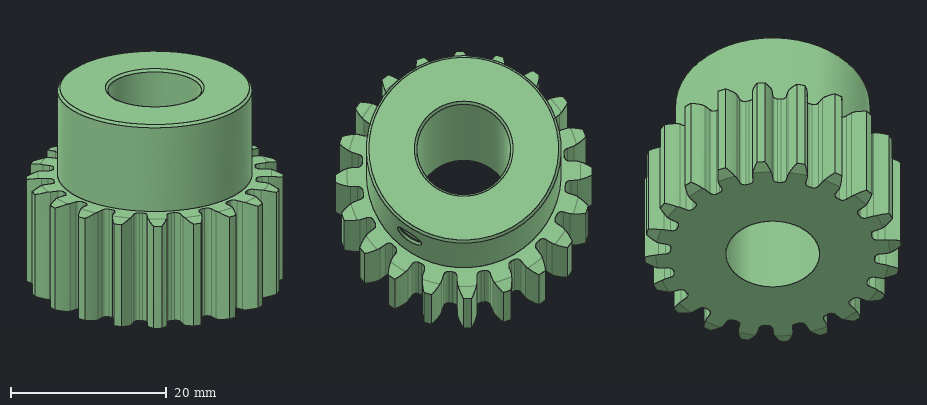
import cadquery as cq
import math

tooth_count = 20
outside_diameter = 33.0
addendum_factor = 1.0
dedendum_factor = 1.25
gear_module = outside_diameter / (tooth_count + 2 * addendum_factor)
pressure_angle = math.radians(20)
root_fillet = 0.65
involute_start_radius = 14.65
flank_points = 6

face_width = 15.0
total_height = 27.0
hub_diameter = 25.0
bore_diameter = 12.0
edge_chamfer = 0.33
end_bevel_angle = math.radians(15)

screw_diameter = 3.25
screw_tip_diameter = 2.5
countersink_diameter = 4.0
screw_length = 6.0
screw_from_top = 5.0

outside_radius = outside_diameter / 2
pitch_radius = gear_module * tooth_count / 2
base_radius = pitch_radius * math.cos(pressure_angle)
root_radius = pitch_radius - dedendum_factor * gear_module
bevel_radius = pitch_radius
bevel_height = (outside_radius - bevel_radius) * math.tan(end_bevel_angle)
tooth_pitch_angle = 2 * math.pi / tooth_count
bore_radius = bore_diameter / 2
screw_height = total_height - screw_from_top
screw_tip_chamfer = (screw_diameter - screw_tip_diameter) / 2


def polar(radius, angle):
    return (radius * math.cos(angle), radius * math.sin(angle))


def involute_angle(radius):
    """Angle an involute has turned through between the base circle and this radius."""
    roll = math.acos(base_radius / radius)
    return math.tan(roll) - roll


base_half_angle = tooth_pitch_angle / 4 + involute_angle(pitch_radius)

fillet_center_radius = root_radius + root_fillet
fillet_angle = math.asin(root_fillet / fillet_center_radius)
fillet_top_radius = fillet_center_radius * math.cos(fillet_angle)
root_half_angle = base_half_angle + fillet_angle


def flank(center_angle, side):
    """Involute points of one tooth flank, from its start radius out to the tip."""
    points = []
    for i in range(flank_points):
        radius = involute_start_radius + (outside_radius - involute_start_radius) * i / (flank_points - 1)
        half_angle = base_half_angle - involute_angle(radius)
        points.append(polar(radius, center_angle + side * half_angle))
    return points


def root_fillet_middle(center_angle, side):
    """Point of a root fillet halfway between its end on the flank foot and its end on the root circle."""
    center_x, center_y = polar(fillet_center_radius, center_angle + side * root_half_angle)
    inward = center_angle + side * root_half_angle + math.pi
    turn_to_middle = (math.pi / 2 - fillet_angle) / 2
    dx, dy = polar(root_fillet, inward + side * turn_to_middle)
    return (center_x + dx, center_y + dy)


def toothed_outline():
    """Closed outline: involute flanks, straight flank feet, and filleted roots."""
    outline = cq.Workplane("XY").moveTo(*polar(fillet_top_radius, -base_half_angle))
    for i in range(tooth_count):
        center = i * tooth_pitch_angle
        next_center = center + tooth_pitch_angle
        rising = flank(center, -1)
        falling = flank(center, 1)[::-1]
        outline = (
            outline.lineTo(*rising[0])
            .spline(rising[1:], includeCurrent=True)
            .threePointArc(polar(outside_radius, center), falling[0])
            .spline(falling[1:], includeCurrent=True)
            .lineTo(*polar(fillet_top_radius, center + base_half_angle))
            .threePointArc(
                root_fillet_middle(center, 1),
                polar(root_radius, center + root_half_angle),
            )
            .threePointArc(
                polar(root_radius, center + tooth_pitch_angle / 2),
                polar(root_radius, next_center - root_half_angle),
            )
            .threePointArc(
                root_fillet_middle(next_center, -1),
                polar(fillet_top_radius, next_center - base_half_angle),
            )
        )
    return outline.close()


def beveled_blank():
    """Disc whose rim is beveled at both ends, used to trim the tooth ends."""
    return (
        cq.Workplane("XZ")
        .polyline([
            (0, 0),
            (bevel_radius, 0),
            (outside_radius, bevel_height),
            (outside_radius, face_width - bevel_height),
            (bevel_radius, face_width),
            (0, face_width),
        ])
        .close()
        .revolve(360, (0, 0, 0), (0, 1, 0))
    )


def radial_cylinder(start, length):
    """Cylinder of the screw diameter along +Y, starting at the given Y."""
    return (
        cq.Workplane("XZ", origin=(0, start, screw_height))
        .circle(screw_diameter / 2)
        .extrude(-length)
    )


def screw_countersink():
    """Cone at the outer end of the screw hole, widest at the hub surface."""
    depth = (countersink_diameter - screw_diameter) / 2
    return (
        cq.Workplane("XZ", origin=(0, hub_diameter / 2, screw_height))
        .circle(countersink_diameter / 2)
        .workplane(offset=depth)
        .circle(screw_diameter / 2)
        .loft()
    )


def make_gear():
    """Toothed ring and hub in one piece, bored through, with a countersunk hole for the screw."""
    teeth = toothed_outline().extrude(face_width).intersect(beveled_blank())
    hub = cq.Workplane("XY").circle(hub_diameter / 2).extrude(total_height)
    hub = hub.faces(">Z").chamfer(edge_chamfer)
    bore = cq.Workplane("XY").circle(bore_radius).extrude(total_height)
    gear = teeth.union(hub).cut(bore)
    gear = gear.faces(">Z").edges(cq.selectors.RadiusNthSelector(0)).chamfer(edge_chamfer)
    return gear.cut(radial_cylinder(0, outside_radius)).cut(screw_countersink())


def make_set_screw():
    """Plain screw whose flat, chamfered tip stops level with the bore."""
    return radial_cylinder(bore_radius, screw_length).faces("<Y").chamfer(screw_tip_chamfer)


gear = make_gear()
set_screw = make_set_screw()

result = cq.Compound.makeCompound([gear.val(), set_screw.val()])